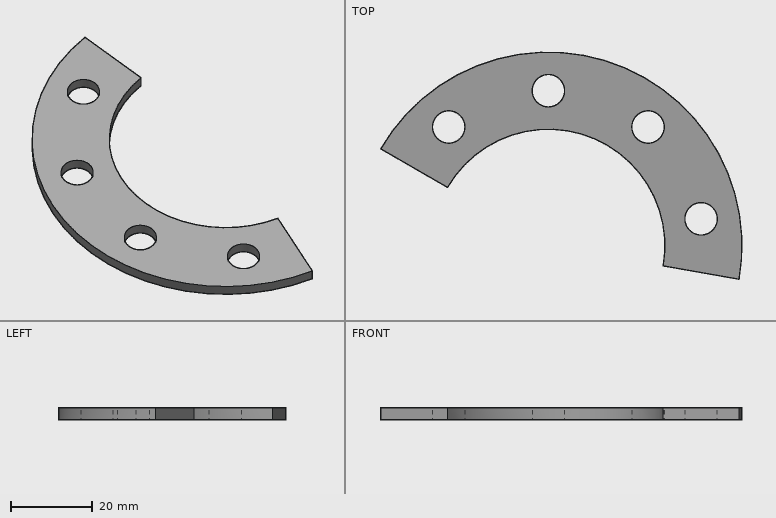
import cadquery as cq
import math

overall_length = 88.9
thickness = 3.0
inner_radius = 28.6
hole_diameter = 7.9
hole_count = 4
hole_pitch_angle = 40.0
start_angle = -10.0

end_angle = start_angle + hole_count * hole_pitch_angle
mid_angle = (start_angle + end_angle) / 2
first_hole_angle = start_angle + hole_pitch_angle / 2

outer_radius = overall_length / (1 - math.cos(math.radians(end_angle)))
hole_circle_radius = (inner_radius + outer_radius) / 2


def polar_point(radius, angle):
    """Point at a radius and an angle in degrees about the ring centre."""
    radians = math.radians(angle)
    return (radius * math.cos(radians), radius * math.sin(radians))


segment = (
    cq.Workplane("XY")
    .moveTo(*polar_point(inner_radius, start_angle))
    .lineTo(*polar_point(outer_radius, start_angle))
    .threePointArc(polar_point(outer_radius, mid_angle), polar_point(outer_radius, end_angle))
    .lineTo(*polar_point(inner_radius, end_angle))
    .threePointArc(polar_point(inner_radius, mid_angle), polar_point(inner_radius, start_angle))
    .close()
    .extrude(thickness)
)

hole_centres = [
    polar_point(hole_circle_radius, first_hole_angle + index * hole_pitch_angle)
    for index in range(hole_count)
]
holes = (
    cq.Workplane("XY")
    .pushPoints(hole_centres)
    .circle(hole_diameter / 2)
    .extrude(thickness)
)

result = segment.cut(holes)